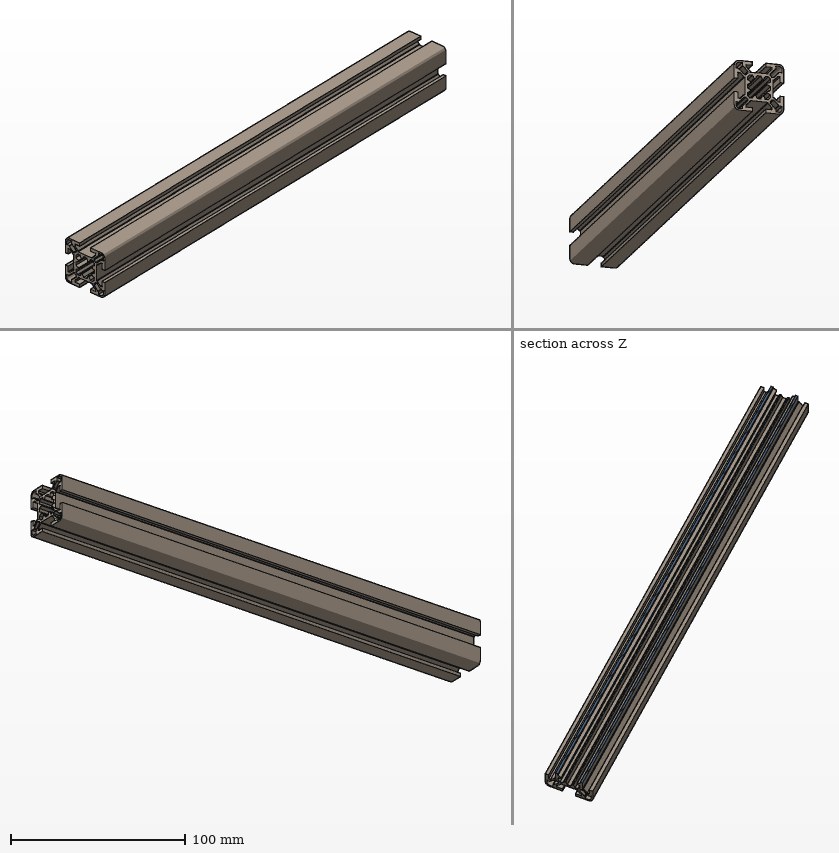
import cadquery as cq
import math

SIDE = 30.0
LENGTH = 300.0
CORNER_RADIUS = 3.0
HALF = SIDE / 2

SLOT_OPENING = 8.2
SLOT_INNER_WIDTH = 15.5
LIP_THICKNESS = 2.2
FLOOR_WIDTH = 10.6
FLOOR_DISTANCE = 8.6
WEB_OUTER_OFFSET = 2.7

CAVITY_HALF = 6.9
CAVITY_CHAMFER = 1.3
TOOTH_OFFSET = 2.5
TOOTH_BASE = 2.9
TOOTH_TIP = 0.7
TOOTH_HEIGHT = 1.95

CORNER_SKIN = 1.1
POCKET_WIDTH = 3.75
STEP_DEPTH = 2.0
CHANNEL_HALF_WIDTH = 1.5
CHANNEL_END = 6.8
CHANNEL_END_CHAMFER = 1.15


def extrude_outline(points):
    """Extrude a closed XZ outline over the full length, centred on Y = 0."""
    outline = cq.Workplane("XZ").polyline(points).close()
    return outline.extrude(LENGTH / 2, both=True)


def repeat_around_axis(shape):
    """Join four copies of a shape, a quarter turn apart about the part axis."""
    joined = shape
    for turn in range(1, 4):
        joined = joined.union(shape.rotate((0, 0, 0), (0, 1, 0), 90 * turn))
    return joined


def make_bar():
    bar = cq.Workplane("XY").box(SIDE, LENGTH, SIDE)
    return bar.edges("|Y").fillet(CORNER_RADIUS)


def make_slot():
    """T-slot in the +Z side, narrowing along the webs to a flat floor."""
    lip_bottom = HALF - LIP_THICKNESS
    web_offset = WEB_OUTER_OFFSET * math.sqrt(2)
    half_opening = SLOT_OPENING / 2
    half_inner = SLOT_INNER_WIDTH / 2
    half_floor = FLOOR_WIDTH / 2
    right_side = [
        (half_opening, HALF),
        (half_opening, lip_bottom),
        (half_inner, lip_bottom),
        (half_inner, half_inner + web_offset),
        (half_floor, half_floor + web_offset),
        (half_floor, FLOOR_DISTANCE),
    ]
    left_side = [(-x, z) for x, z in reversed(right_side)]
    return extrude_outline(right_side + left_side)


def make_cavity():
    cavity = cq.Workplane("XY").box(2 * CAVITY_HALF, LENGTH, 2 * CAVITY_HALF)
    return cavity.edges("|Y").chamfer(CAVITY_CHAMFER)


def make_tooth_pair():
    """Two mirrored teeth pointing inward from the +Z wall of the cavity."""
    tip_height = CAVITY_HALF - TOOTH_HEIGHT
    tooth = extrude_outline(
        [
            (TOOTH_OFFSET - TOOTH_BASE / 2, CAVITY_HALF),
            (TOOTH_OFFSET - TOOTH_TIP / 2, tip_height),
            (TOOTH_OFFSET + TOOTH_TIP / 2, tip_height),
            (TOOTH_OFFSET + TOOTH_BASE / 2, CAVITY_HALF),
        ]
    )
    return tooth.union(tooth.mirror("YZ"))


def make_corner_hollow():
    """Hollow in the +X +Z corner, mirrored about the corner diagonal."""
    outer = HALF - CORNER_SKIN
    inner = outer - POCKET_WIDTH
    step = outer - STEP_DEPTH
    channel_offset = CHANNEL_HALF_WIDTH * math.sqrt(2)
    upper_side = [
        (inner, outer),
        (inner, step),
        (step - channel_offset, step),
        (CHANNEL_END, CHANNEL_END + channel_offset),
        (CHANNEL_END, CHANNEL_END + CHANNEL_END_CHAMFER),
    ]
    lower_side = [(z, x) for x, z in reversed(upper_side)]
    hollow = extrude_outline([(outer, outer)] + upper_side + lower_side)
    outer_edge = cq.selectors.NearestToPointSelector((outer, 0, outer))
    return hollow.edges(outer_edge).fillet(CORNER_RADIUS - CORNER_SKIN)


toothed_cavity = make_cavity().cut(repeat_around_axis(make_tooth_pair()))

result = make_bar()
result = result.cut(repeat_around_axis(make_slot()))
result = result.cut(toothed_cavity)
result = result.cut(repeat_around_axis(make_corner_hollow()))